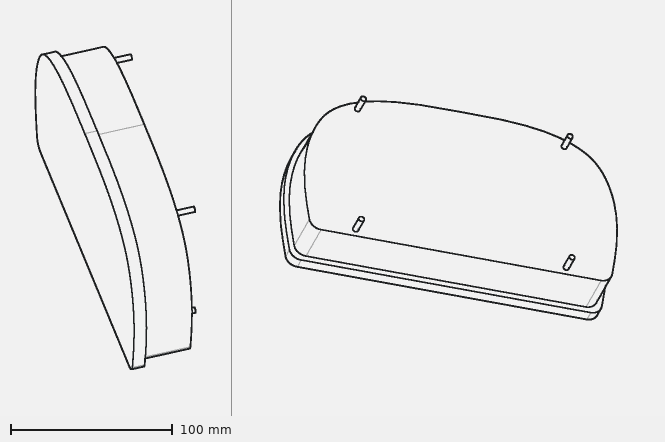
import cadquery as cq
import math

WIDTH = 210.2
HEIGHT = 114.1
DEPTH = 50.5

PLATE_THICKNESS = 8.0
PIN_LENGTH = 12.0
BODY_DEPTH = DEPTH - PLATE_THICKNESS - PIN_LENGTH

HALF_BASE = 100.5
SIDE_LEAN = 8.3

RIGHT_SIDE = [
    (0, HEIGHT, 90),
    (51.5, 111.4, 80.5),
    (87.6, 95.6, 46),
    (WIDTH / 2, 43.0, 0),
]
CORNER_RADIUS = 7.5
BODY_INSET = 3.5

PIN_DIAMETER = 3.5
UPPER_PIN_X, UPPER_PIN_Z = 67.0, 98.5
LOWER_PIN_X, LOWER_PIN_Z = 68.3, 8.5


def inset_point(x, z, normal_angle, inset):
    """Point of the outline moved inward along its outward normal."""
    angle = math.radians(normal_angle)
    return (x - inset * math.cos(angle), z - inset * math.sin(angle))


def clockwise_tangent(normal_angle):
    """Direction of travel down the right side, at right angles to the outward normal."""
    angle = math.radians(normal_angle)
    return (math.sin(angle), -math.cos(angle))


def domed_slab(y_start, thickness, inset):
    """Slab with the domed outline moved inward by inset, its bottom corners rounded."""
    points = [inset_point(x, z, angle, inset) for x, z, angle in RIGHT_SIDE]
    tangents = [clockwise_tangent(angle) for _, _, angle in RIGHT_SIDE]

    side_lean = math.radians(SIDE_LEAN)
    corner_x = HALF_BASE - inset / math.cos(side_lean) + inset * math.tan(side_lean)
    points.append((corner_x, inset))
    tangents.append(clockwise_tangent(-SIDE_LEAN))

    slab = (
        cq.Workplane("XZ", origin=(0, y_start, 0))
        .moveTo(*points[0])
        .spline(points[1:], tangents=tangents, includeCurrent=True)
        .lineTo(0, inset)
        .mirrorY()
        .extrude(-thickness)
        .clean()
    )
    corner_edges = slab.faces("<Z").edges("|Y")
    return slab.newObject(corner_edges.vals()).fillet(CORNER_RADIUS)


plate = domed_slab(0, PLATE_THICKNESS, 0)
body = domed_slab(PLATE_THICKNESS, BODY_DEPTH, BODY_INSET)

pin_centres = [
    (side * x, z)
    for side in (-1, 1)
    for x, z in ((UPPER_PIN_X, UPPER_PIN_Z), (LOWER_PIN_X, LOWER_PIN_Z))
]
pins = (
    cq.Workplane("XZ", origin=(0, PLATE_THICKNESS + BODY_DEPTH, 0))
    .pushPoints(pin_centres)
    .circle(PIN_DIAMETER / 2)
    .extrude(-PIN_LENGTH)
)

result = plate.union(body).union(pins)